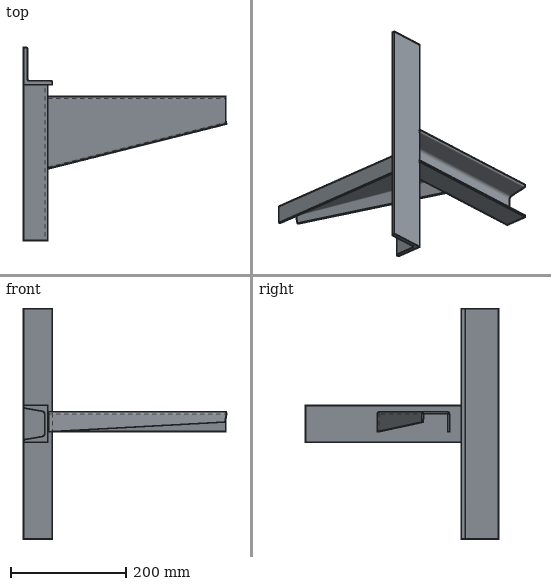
import cadquery as cq
import math

width = 352.5
depth = 335.0
post_height = 400.0

post_leg_x = 50.5
post_leg_y = 65.0
post_thickness = 7.0
post_root_radius = 3.0
post_toe_radius = 3.0

rail_length = depth - post_leg_y
rail_width = 42.5
rail_height = 64.0
rail_web = 5.0
rail_toe_thickness = 4.5
rail_root_thickness = 11.0
rail_root_radius = 6.0
rail_toe_radius = 3.0

sheet = 3.0
bend_radius = 5.0
arm_top = 21.0
arm_height = 35.0
front_flange_tip_height = 18.0
flange_tip_setback = 2.5
arm_rear_y = -20.0
front_bend_root_y = -141.0
front_bend_tip_y = -63.0

rear_bend_y = arm_rear_y - bend_radius
approximate_slope = math.atan2(front_bend_tip_y - front_bend_root_y, width - rail_width)
arm_end_x = width - bend_radius * math.sin(approximate_slope)
slope = math.atan2(front_bend_tip_y - front_bend_root_y, arm_end_x - rail_width)
front_flange_length = math.hypot(arm_end_x - rail_width, front_bend_tip_y - front_bend_root_y)


def make_post():
    post = (
        cq.Workplane("XY", origin=(0, 0, -post_height / 2))
        .polyline([
            (0, 0),
            (post_leg_x, 0),
            (post_leg_x, post_thickness),
            (post_thickness, post_thickness),
            (post_thickness, post_leg_y),
            (0, post_leg_y),
        ])
        .close()
        .extrude(post_height)
    )
    toes = [(post_leg_x, post_thickness, 0), (post_thickness, post_leg_y, 0)]
    for toe in toes:
        post = post.edges(cq.selectors.NearestToPointSelector(toe)).fillet(post_toe_radius)
    root = (post_thickness, post_thickness, 0)
    return post.edges(cq.selectors.NearestToPointSelector(root)).fillet(post_root_radius)


def make_rail():
    half_height = rail_height / 2
    toe_z = half_height - rail_toe_thickness
    root_z = half_height - rail_root_thickness
    web_x = rail_width - rail_web
    rail = (
        cq.Workplane("XZ")
        .polyline([
            (0, half_height),
            (rail_width, half_height),
            (rail_width, -half_height),
            (0, -half_height),
            (0, -toe_z),
            (web_x, -root_z),
            (web_x, root_z),
            (0, toe_z),
        ])
        .close()
        .extrude(rail_length)
    )
    for side in (1, -1):
        toe = (0, -rail_length / 2, side * toe_z)
        root = (web_x, -rail_length / 2, side * root_z)
        rail = rail.edges(cq.selectors.NearestToPointSelector(toe)).fillet(rail_toe_radius)
        rail = rail.edges(cq.selectors.NearestToPointSelector(root)).fillet(rail_root_radius)
    return rail


def make_flange(plane, length):
    """Fold and flange; local x points outward from the fold line and local y points up."""
    inner_radius = bend_radius - sheet
    diagonal = math.sqrt(0.5)

    def arc_middle(radius):
        return (radius * diagonal, radius * diagonal - bend_radius)

    return (
        cq.Workplane(plane)
        .moveTo(0, 0)
        .threePointArc(arc_middle(bend_radius), (bend_radius, -bend_radius))
        .lineTo(bend_radius, -arm_height)
        .lineTo(inner_radius, -arm_height)
        .lineTo(inner_radius, -bend_radius)
        .threePointArc(arc_middle(inner_radius), (0, -sheet))
        .close()
        .extrude(length)
    )


def make_front_flange():
    along = (math.cos(slope), math.sin(slope), 0)
    outward = (math.sin(slope), -math.cos(slope), 0)
    root = (rail_width, front_bend_root_y, arm_top)
    tip = (arm_end_x, front_bend_tip_y, arm_top)
    backward = (-along[0], -along[1], 0)
    flange = make_flange(cq.Plane(origin=tip, xDir=outward, normal=backward), front_flange_length)
    taper = (
        cq.Workplane(cq.Plane(origin=root, xDir=along, normal=outward))
        .polyline([
            (0, -arm_height),
            (front_flange_length - flange_tip_setback, -front_flange_tip_height),
            (front_flange_length, -bend_radius),
            (front_flange_length, -arm_height),
        ])
        .close()
        .extrude(bend_radius)
    )
    return flange.cut(taper)


def make_arm():
    plate = (
        cq.Workplane("XY", origin=(0, 0, arm_top - sheet))
        .polyline([
            (rail_width, rear_bend_y),
            (arm_end_x, rear_bend_y),
            (arm_end_x, front_bend_tip_y),
            (rail_width, front_bend_root_y),
        ])
        .close()
        .extrude(sheet)
    )
    rear_plane = cq.Plane(origin=(rail_width, rear_bend_y, arm_top), xDir=(0, 1, 0), normal=(1, 0, 0))
    rear_flange = make_flange(rear_plane, arm_end_x - rail_width)
    return plate.union(rear_flange).union(make_front_flange())


post = make_post()
rail = make_rail()
arm = make_arm()

result = cq.Compound.makeCompound([post.val(), rail.val(), arm.solids().val()])